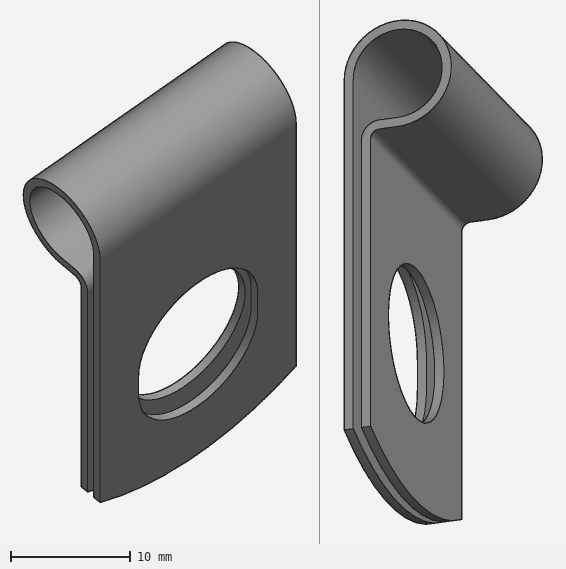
import cadquery as cq
import math

height = 38.9
width = 22.25
thickness = 0.8
loop_radius = 4.8
leg_gap = 0.75
bend_inner_radius = 0.78
corner_height = 2.55
hole_diameter = 13.5
slot_length = 16.0
hole_height = 14.27

loop_z = height - loop_radius
loop_inner_radius = loop_radius - thickness
bend_outer_radius = bend_inner_radius + thickness
short_leg_right = loop_inner_radius - leg_gap
short_leg_left = short_leg_right - thickness
bend_x = short_leg_left - bend_inner_radius
bend_z = loop_z - loop_radius - bend_inner_radius
diagonal = math.sqrt(0.5)


def make_strip():
    """Constant-thickness strip: long leg, loop, bend and short leg."""
    return (
        cq.Workplane("XZ")
        .moveTo(loop_radius, 0)
        .lineTo(loop_radius, loop_z)
        .threePointArc(
            (-loop_radius * diagonal, loop_z + loop_radius * diagonal),
            (0, loop_z - loop_radius),
        )
        .lineTo(bend_x, bend_z + bend_inner_radius)
        .threePointArc(
            (bend_x + bend_inner_radius * diagonal, bend_z + bend_inner_radius * diagonal),
            (short_leg_left, bend_z),
        )
        .lineTo(short_leg_left, 0)
        .lineTo(short_leg_right, 0)
        .lineTo(short_leg_right, bend_z)
        .threePointArc(
            (bend_x + bend_outer_radius * diagonal, bend_z + bend_outer_radius * diagonal),
            (bend_x, bend_z + bend_outer_radius),
        )
        .lineTo(0, loop_z - loop_inner_radius)
        .threePointArc(
            (-loop_inner_radius * diagonal, loop_z + loop_inner_radius * diagonal),
            (loop_inner_radius, loop_z),
        )
        .lineTo(loop_inner_radius, 0)
        .close()
        .extrude(width / 2, both=True)
    )


def make_side_outline():
    """Block with the side outline: straight sides and an arc along the lower edge."""
    return (
        cq.Workplane("YZ")
        .moveTo(-width / 2, height)
        .lineTo(-width / 2, corner_height)
        .threePointArc((0, 0), (width / 2, corner_height))
        .lineTo(width / 2, height)
        .close()
        .extrude(loop_radius, both=True)
    )


def make_round_hole():
    """Cylinder that pierces the short leg only."""
    return (
        cq.Workplane("YZ", origin=(short_leg_left, 0, hole_height))
        .circle(hole_diameter / 2)
        .extrude(thickness)
    )


def make_slot():
    """Upright slot, as wide as the round hole, that pierces the long leg only."""
    return (
        cq.Workplane("YZ", origin=(loop_inner_radius, 0, hole_height))
        .slot2D(slot_length, hole_diameter, 90)
        .extrude(thickness)
    )


result = (
    make_strip()
    .intersect(make_side_outline())
    .cut(make_round_hole())
    .cut(make_slot())
)